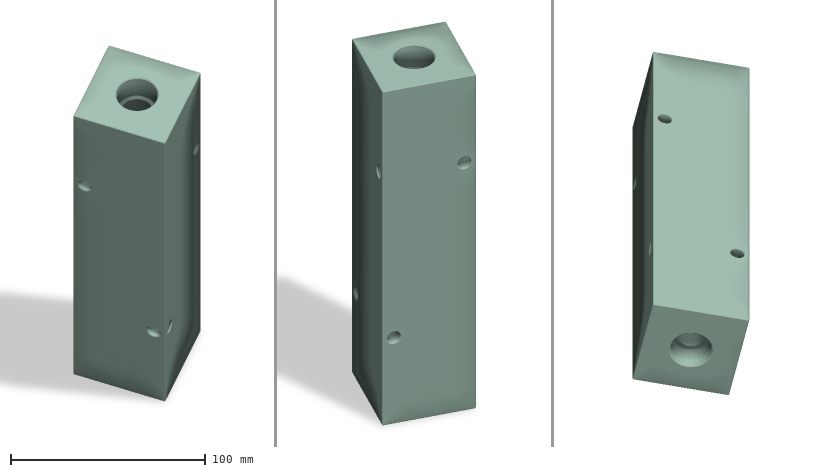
import cadquery as cq
block_width = 50.7
block_length = 209.5
edge_chamfer = 0.38

passage_diameter = 16.0
port_mouth_diameter = 21.4
port_taper = 1 / 16
port_depth = 13.6
port_chamfer = 0.59

cross_hole_diameter = 7.1
cross_hole_chamfer = 0.38
cross_hole_side_offset = 19.0
cross_hole_height = 50.7


def main_bore():
    """Through passage with a chamfered, tapered port at each end."""
    half_length = block_length / 2
    floor_height = half_length - port_depth
    passage_radius = passage_diameter / 2
    mouth_radius = port_mouth_diameter / 2
    floor_radius = mouth_radius - port_depth * port_taper / 2
    chamfer_foot_radius = mouth_radius - port_chamfer * port_taper / 2
    upper_half_profile = [
        (0, 0),
        (passage_radius, 0),
        (passage_radius, floor_height),
        (floor_radius, floor_height),
        (chamfer_foot_radius, half_length - port_chamfer),
        (mouth_radius + port_chamfer, half_length),
        (0, half_length),
    ]
    upper_half = cq.Workplane("XZ").polyline(upper_half_profile).close().revolve(360, (0, 0), (0, 1))
    return upper_half.union(upper_half.mirror("XY"))


def cross_hole():
    """Cutter along Z through the block width, flared to form a chamfer at both mouths."""
    radius = cross_hole_diameter / 2
    half_length = block_width / 2
    half_profile = [
        (0, -half_length),
        (radius + cross_hole_chamfer, -half_length),
        (radius, -half_length + cross_hole_chamfer),
        (radius, half_length - cross_hole_chamfer),
        (radius + cross_hole_chamfer, half_length),
        (0, half_length),
    ]
    return cq.Workplane("XZ").polyline(half_profile).close().revolve(360, (0, 0), (0, 1))


block = cq.Workplane("XY").box(block_width, block_width, block_length)
block = block.edges().chamfer(edge_chamfer)
result = block.cut(main_bore())

hole_along_y = cross_hole().rotate((0, 0, 0), (1, 0, 0), 90)
hole_along_x = cross_hole().rotate((0, 0, 0), (0, 1, 0), 90)
for side in (1, -1):
    offset = side * cross_hole_side_offset
    height = side * cross_hole_height
    result = result.cut(hole_along_y.translate((-offset, 0, height)))
    result = result.cut(hole_along_x.translate((0, offset, height)))